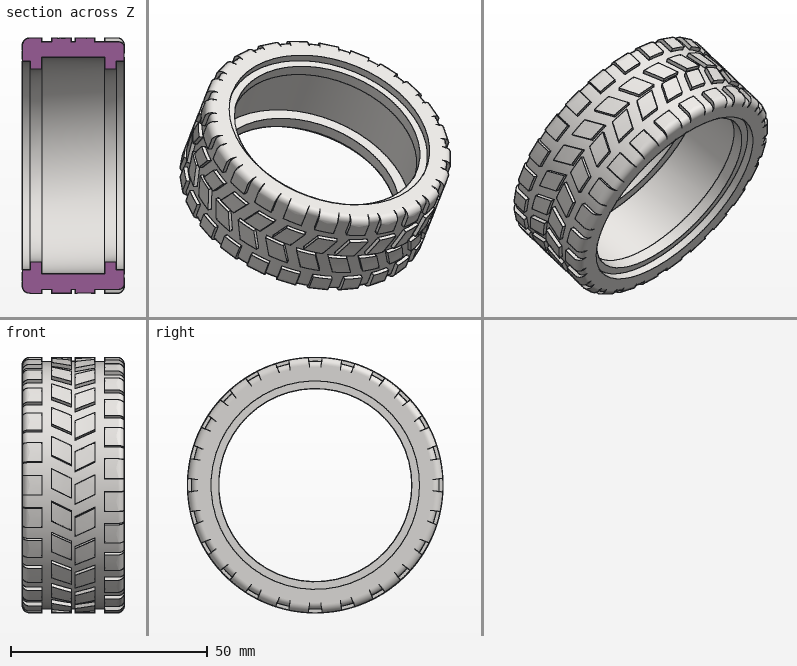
import cadquery as cq

width = 26.0
outer_diameter = 65.0
base_diameter = 63.0
shoulder_radius = 1.5

mouth_diameter = 53.0
mouth_depth = 2.0
lip_diameter = 49.0
lip_width = 3.0
cavity_diameter = 55.0

blocks_per_row = 24
block_size = 5.0
block_end_radius = 2.0
block_embed = 1.95
chevron_gap = 1.0
chevron_slant = 2.5
left_chevron_turn = -0.8
right_chevron_turn = 2.0

outer_radius = outer_diameter / 2
root_radius = base_diameter / 2 - block_embed
pitch_angle = 360 / blocks_per_row


def disc(diameter, start, length):
    """Solid cylinder along X."""
    return cq.Workplane("YZ", origin=(start, 0, 0)).circle(diameter / 2).extrude(length)


def make_body():
    """Ring with rounded shoulders and a stepped bore."""
    cavity_start = mouth_depth + lip_width
    body = disc(base_diameter, 0, width).edges().fillet(shoulder_radius)
    body = body.cut(disc(lip_diameter, 0, width))
    body = body.cut(disc(mouth_diameter, 0, mouth_depth))
    body = body.cut(disc(mouth_diameter, width - mouth_depth, mouth_depth))
    return body.cut(disc(cavity_diameter, cavity_start, width - 2 * cavity_start))


def shoulder_block():
    """Upright block at the X = 0 end, with its outer top edge rounded."""
    return (
        cq.Workplane("XZ", origin=(0, block_size / 2, 0))
        .moveTo(0, root_radius)
        .lineTo(0, outer_radius - block_end_radius)
        .radiusArc((block_end_radius, outer_radius), block_end_radius)
        .lineTo(block_size, outer_radius)
        .lineTo(block_size, root_radius)
        .close()
        .extrude(block_size)
    )


def chevron_block():
    """Upright parallelogram block on the X = 0 side of the middle gap."""
    inner_end = (width - chevron_gap) / 2
    outer_end = inner_end - block_size
    half_span = (block_size + chevron_slant) / 2
    corners = [
        (outer_end, half_span - block_size),
        (outer_end, half_span),
        (inner_end, block_size - half_span),
        (inner_end, -half_span),
    ]
    return (
        cq.Workplane("XY", origin=(0, 0, root_radius))
        .polyline(corners)
        .close()
        .extrude(outer_radius - root_radius)
    )


def mirrored(block):
    """The same block on the other side of the tyre's middle plane."""
    return block.mirror("YZ", (width / 2, 0, 0))


def row(block, first_angle):
    """Trim a block to the outer cylinder and repeat it around X."""
    trimmed = block.intersect(disc(outer_diameter, 0, width)).val()
    blocks = []
    for i in range(blocks_per_row):
        blocks.append(trimmed.rotate((0, 0, 0), (1, 0, 0), first_angle + i * pitch_angle))
    return blocks


shoulder = shoulder_block()
chevron = chevron_block()

tread = row(shoulder, 0)
tread += row(mirrored(shoulder), pitch_angle / 2)
tread += row(chevron, left_chevron_turn)
tread += row(mirrored(chevron), right_chevron_turn)

tyre = make_body().val().fuse(*tread).clean()
result = cq.Workplane(tyre.Solids()[0])